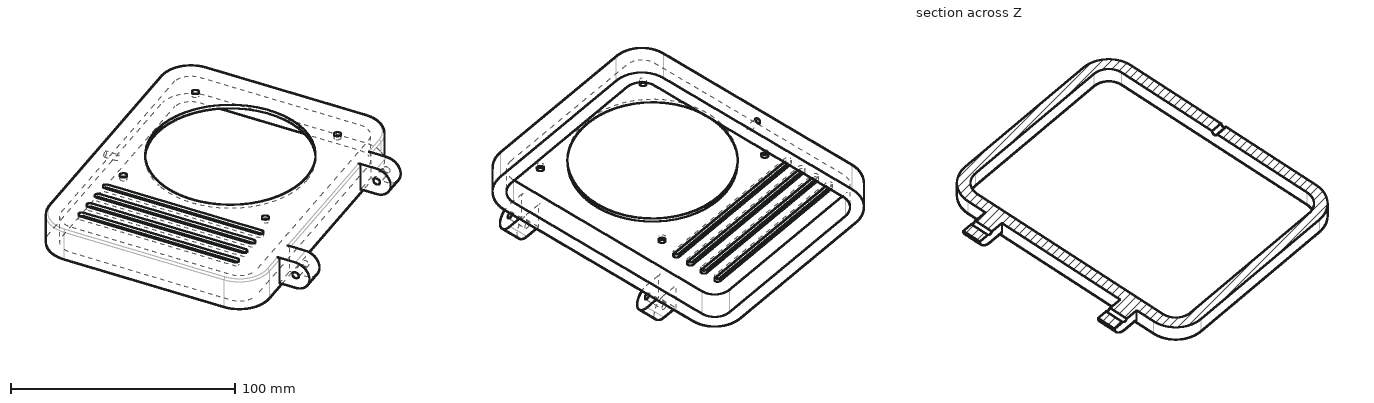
import cadquery as cq

body_length_x = 110.0
body_length_y = 140.0
body_height = 16.0
corner_radius = 15.0
edge_fillet = 1.0
wall_thickness = 6.25
plate_thickness = 2.0

fan_center_y = 15.0
fan_opening_diameter = 76.0
fan_screw_spacing = 71.0
fan_screw_diameter = 3.2

slot_count = 4
slot_length = 80.0
slot_width = 3.0
slot_pitch = 8.0
first_slot_y = -31.5

lug_width = 10.0
lug_height = 14.0
lug_spacing = 80.0
lug_reach = 15.0
lug_pin_diameter = 3.2

latch_hole_diameter = 2.8

wall_face_x = body_length_x / 2


def make_tray():
    outer = (
        cq.Workplane("XY")
        .rect(body_length_x, body_length_y)
        .extrude(body_height)
        .edges("|Z")
        .fillet(corner_radius)
        .faces(">Z")
        .edges()
        .fillet(edge_fillet)
    )
    cavity = (
        cq.Workplane("XY")
        .rect(body_length_x - 2 * wall_thickness, body_length_y - 2 * wall_thickness)
        .extrude(body_height - plate_thickness)
        .edges("|Z")
        .fillet(corner_radius - wall_thickness)
    )
    return outer.cut(cavity)


def make_lug(center_y):
    radius = lug_height / 2
    root_x = wall_face_x - edge_fillet
    pin_x = wall_face_x + lug_reach - radius
    pin_z = body_height - radius
    return (
        cq.Workplane("XZ", origin=(0, center_y + lug_width / 2, 0))
        .moveTo(root_x, body_height)
        .lineTo(pin_x, body_height)
        .threePointArc((pin_x + radius, pin_z), (pin_x, pin_z - radius))
        .lineTo(root_x, pin_z - radius)
        .close()
        .moveTo(pin_x, pin_z)
        .circle(lug_pin_diameter / 2)
        .extrude(lug_width)
    )


def make_fan_cutouts():
    fan_plane = cq.Workplane("XY", origin=(0, fan_center_y, 0))
    opening = fan_plane.circle(fan_opening_diameter / 2).extrude(body_height)
    screw_holes = (
        fan_plane.rect(fan_screw_spacing, fan_screw_spacing, forConstruction=True)
        .vertices()
        .circle(fan_screw_diameter / 2)
        .extrude(body_height)
    )
    return opening.union(screw_holes)


def make_slots():
    centers = [(0, first_slot_y - i * slot_pitch) for i in range(slot_count)]
    return cq.Workplane("XY").pushPoints(centers).slot2D(slot_length, slot_width).extrude(body_height)


def make_latch_hole():
    return (
        cq.Workplane("YZ", origin=(-wall_face_x, 0, body_height / 2))
        .circle(latch_hole_diameter / 2)
        .extrude(wall_thickness)
    )


result = make_tray()
for side in (-1, 1):
    result = result.union(make_lug(side * lug_spacing / 2))
result = result.cut(make_fan_cutouts()).cut(make_slots()).cut(make_latch_hole())